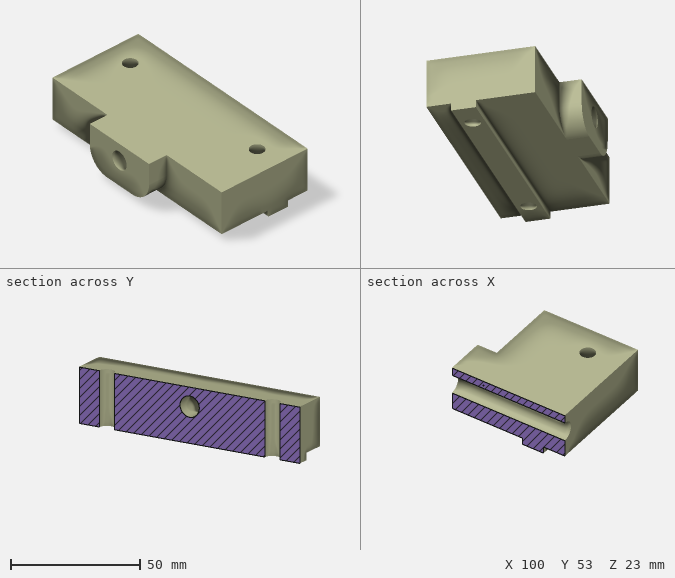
import cadquery as cq

block_length = 100
block_depth = 44
block_height = 20

rail_width = 10
rail_height = 3
rail_back_offset = 10
rail_center_y = block_depth - rail_back_offset - rail_width / 2

tab_width = 35
tab_depth = 9
tab_corner_radius = 10

mount_hole_diameter = 6.5
mount_hole_spacing = 75
cross_hole_diameter = 8.5
cross_hole_drop = 8


def make_block():
    return cq.Workplane("XY").box(
        block_length, block_depth, block_height, centered=(True, False, False)
    ).translate((0, 0, -block_height))


def make_rail():
    return cq.Workplane("XY").box(
        block_length, rail_width, rail_height, centered=(True, True, False)
    ).translate((0, rail_center_y, -block_height - rail_height))


def make_tab():
    tab = cq.Workplane("XY").box(
        tab_width, tab_depth, block_height, centered=(True, False, False)
    ).translate((0, -tab_depth, -block_height))
    return tab.faces("<Z").edges("|Y").fillet(tab_corner_radius)


def make_mount_holes():
    return (
        cq.Workplane("XY")
        .pushPoints([(side * mount_hole_spacing / 2, rail_center_y) for side in (-1, 1)])
        .circle(mount_hole_diameter / 2)
        .extrude(-(block_height + rail_height))
    )


def make_cross_hole():
    return (
        cq.Workplane("XZ", origin=(0, -tab_depth, -cross_hole_drop))
        .circle(cross_hole_diameter / 2)
        .extrude(-(tab_depth + block_depth))
    )


body = make_block().union(make_rail()).union(make_tab())
result = body.cut(make_mount_holes()).cut(make_cross_hole())